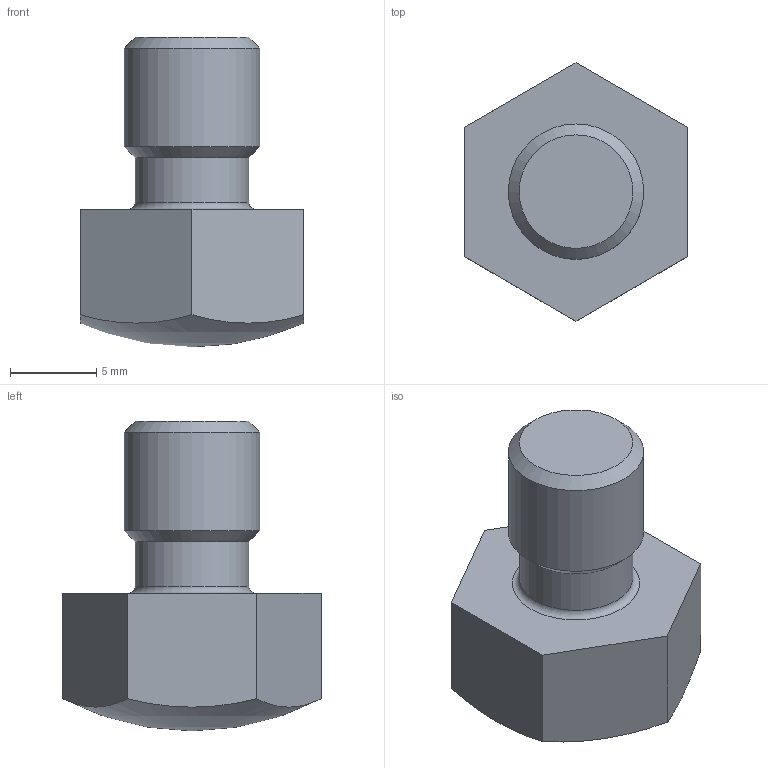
import cadquery as cq
import math

across_flats = 13.0
across_corners = across_flats / math.cos(math.radians(30))
head_height = 8.0
dome_radius = 16.0

shank_length = 10.0
shank_diameter = 7.866
neck_diameter = 6.6
neck_length = 3.0
neck_fillet = 0.4

shank_radius = shank_diameter / 2
neck_radius = neck_diameter / 2
chamfer = shank_radius - neck_radius
total_height = head_height + shank_length


def make_head():
    """Upright hexagonal prism with corners on the Y axis and a spherical bottom."""
    prism = (
        cq.Workplane("XY")
        .polygon(6, across_corners)
        .extrude(head_height)
        .rotate((0, 0, 0), (0, 0, 1), 90)
    )
    dome = cq.Workplane("XY").sphere(dome_radius).translate((0, 0, dome_radius))
    return prism.intersect(dome)


def make_shank():
    """Revolved shank with a filleted neck and a chamfer at each end of the full diameter."""
    neck_top = head_height + neck_length
    fillet_start = (neck_radius + neck_fillet, head_height)
    fillet_end = (neck_radius, head_height + neck_fillet)
    fillet_offset = neck_fillet * (1 - math.sqrt(0.5))
    fillet_middle = (neck_radius + fillet_offset, head_height + fillet_offset)
    return (
        cq.Workplane("YZ")
        .moveTo(0, head_height)
        .lineTo(*fillet_start)
        .threePointArc(fillet_middle, fillet_end)
        .lineTo(neck_radius, neck_top)
        .lineTo(shank_radius, neck_top + chamfer)
        .lineTo(shank_radius, total_height - chamfer)
        .lineTo(neck_radius, total_height)
        .lineTo(0, total_height)
        .close()
        .revolve(360, (0, 0, 0), (0, 1, 0))
    )


result = make_head().union(make_shank())